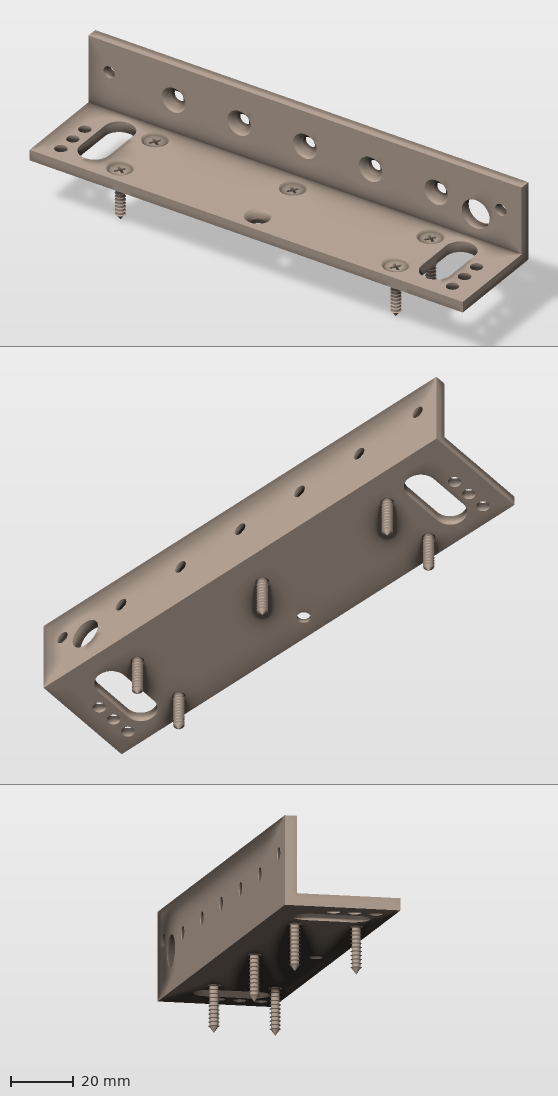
import cadquery as cq

length = 165.0
depth = 38.0
height = 29.0
thickness = 4.0

hole_dia = 4.5
sink_dia = 9.0
sink_depth = (sink_dia - hole_dia) / 2

column_pitch = 52.5
front_row_y = 7.0
row_pitch = 20.1
base_columns = [-column_pitch, 0, column_pitch]
base_rows = [front_row_y, front_row_y + row_pitch]
empty_hole = (0, front_row_y)
base_holes = [(x, y) for x in base_columns for y in base_rows]
screw_places = [place for place in base_holes if place != empty_hole]

wall_hole_count = 5
wall_hole_span = 100.0
wall_hole_pitch = wall_hole_span / (wall_hole_count - 1)
wall_hole_z = 16.0

plain_dia = 4.3
plain_x = length / 2 - 8.0
plain_wall_z = 18.0
plain_base_y = 13.0
plain_base_pitch = 7.0

slot_x = length / 2 - 17.5
slot_y = 18.2
slot_length = 25.0
slot_width = 10.9

large_dia = 10.5
large_x = length / 2 - 17.5
large_z = 13.0

head_dia = 7.6
head_top_z = thickness - (sink_dia - head_dia) / 2
crest_dia = 3.6
root_dia = 2.8
neck_z = head_top_z - (head_dia - root_dia) / 2
thread_pitch = 1.3
thread_count = 11
ridge_half_height = 0.25
first_crest_z = -0.13
tip_z = -15.3

recess_span = 4.3
recess_width = 1.0
recess_core_dia = 1.6
recess_depth = 1.5
recess_turn = 55


def rod(plane, places, dia, rod_length):
    """Round bars starting on the plane and running along its normal."""
    return cq.Workplane(plane).pushPoints(places).circle(dia / 2).extrude(rod_length)


def make_bracket():
    outline = [
        (0, 0),
        (depth, 0),
        (depth, height),
        (depth - thickness, height),
        (depth - thickness, thickness),
        (0, thickness),
    ]
    bracket = cq.Workplane("YZ").polyline(outline).close().extrude(length / 2, both=True)

    base_face = cq.Plane(origin=(0, 0, thickness))
    wall_face = cq.Plane(origin=(0, depth - thickness, 0), xDir=(1, 0, 0), normal=(0, -1, 0))

    wall_holes = [
        (i * wall_hole_pitch - wall_hole_span / 2, wall_hole_z) for i in range(wall_hole_count)
    ]
    for face, places in ((base_face, base_holes), (wall_face, wall_holes)):
        sinks = (
            cq.Workplane(face).pushPoints(places).circle(sink_dia / 2).extrude(-sink_depth, taper=45)
        )
        bracket = bracket.cut(rod(face, places, hole_dia, -thickness)).cut(sinks)

    for side in (-1, 1):
        x = side * plain_x
        base_plain = [(x, plain_base_y + i * plain_base_pitch) for i in (-1, 0, 1)]
        slot = (
            cq.Workplane(base_face)
            .center(side * slot_x, slot_y)
            .slot2D(slot_length, slot_width, 90)
            .extrude(-thickness)
        )
        bracket = bracket.cut(rod(base_face, base_plain, plain_dia, -thickness))
        bracket = bracket.cut(rod(wall_face, [(x, plain_wall_z)], plain_dia, -thickness))
        bracket = bracket.cut(slot)

    return bracket.cut(rod(wall_face, [(large_x, large_z)], large_dia, -thickness))


def make_cross_recess():
    """Two crossed bars whose ends slope down to a round core, sunk from the top of the head."""
    floor_z = head_top_z - recess_depth
    bar_outline = [
        (-recess_span / 2, head_top_z),
        (recess_span / 2, head_top_z),
        (recess_core_dia / 2, floor_z),
        (-recess_core_dia / 2, floor_z),
    ]
    bar = cq.Workplane("XZ").polyline(bar_outline).close().extrude(recess_width / 2, both=True)
    bar = bar.rotate((0, 0, 0), (0, 0, 1), recess_turn)
    core = cq.Workplane("XY", origin=(0, 0, floor_z)).circle(recess_core_dia / 2).extrude(recess_depth)
    return bar.union(bar.rotate((0, 0, 0), (0, 0, 1), 90)).union(core)


def make_screw():
    """One screw on the Z axis: half profile turned round, then the cross recess."""
    profile = [(0, head_top_z), (head_dia / 2, head_top_z), (root_dia / 2, neck_z)]
    for i in range(thread_count):
        crest_z = first_crest_z - i * thread_pitch
        profile.append((root_dia / 2, crest_z + ridge_half_height))
        profile.append((crest_dia / 2, crest_z))
        profile.append((root_dia / 2, crest_z - ridge_half_height))
    profile.append((0, tip_z))
    screw = cq.Workplane("XZ").polyline(profile).close().revolve(360, (0, 0, 0), (0, 1, 0))
    return screw.cut(make_cross_recess())


bracket = make_bracket()
screw = make_screw()
screws = [screw.translate((x, y, 0)) for x, y in screw_places]

result = cq.Compound.makeCompound([bracket.val(), *[placed.val() for placed in screws]])